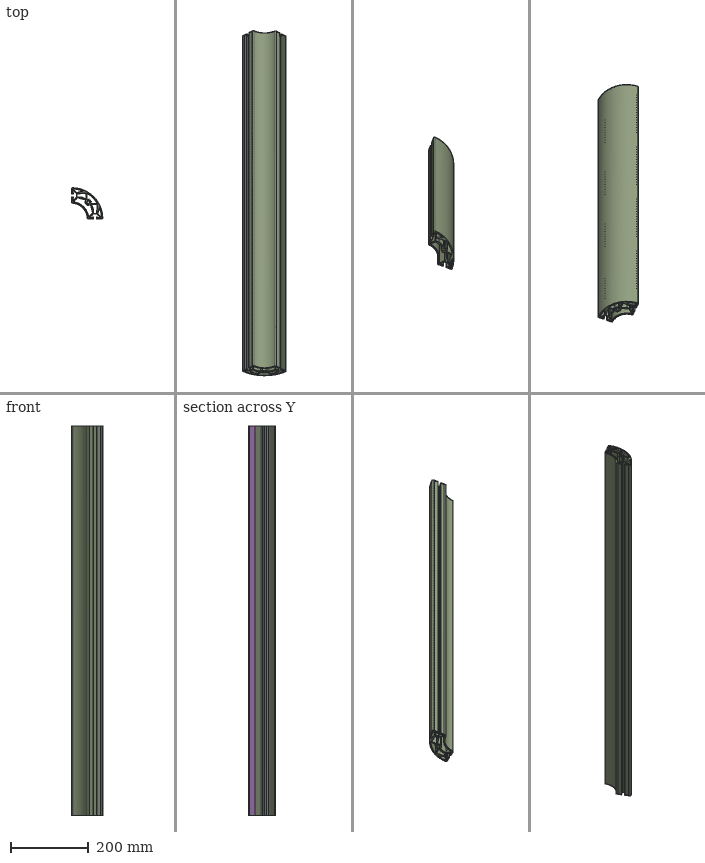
import cadquery as cq
import math

length = 1000.0
outer_radius = 80.0
inner_radius = 40.0
corner_radius = 3.0
outer_wall = 3.4
inner_wall = 3.6
web = 1.8
overshoot = 1.0

mid_radius = (outer_radius + inner_radius) / 2
outer_cavity_radius = outer_radius - outer_wall
inner_cavity_radius = inner_radius + inner_wall
diagonal = 45.0

slot_opening = 8.2
slot_depth = 12.0
slot_floor_width = 10.0
slot_width = 28.0
lip_height = 4.8
lip_root_height = 1.8
flank_start_height = slot_depth - (slot_width - slot_floor_width) / 2
flank_wall_shift = web * math.sqrt(2)

bore_diameter = 6.8
boss_half_depth = 7.0
boss_flat_width = 9.4
boss_inner_radius = mid_radius - boss_half_depth
boss_outer_radius = mid_radius + boss_half_depth
boss_neck = (48.0, 40.0)

bent_wall_foot = (53.9, 15.0)
bent_wall_knee = (49.5, 30.5)
bent_wall_top = (48.5, 35.5)

chamber_top_left = (51.0, 37.0)
chamber_left_knee = (56.5, 23.0)
chamber_right = 65.0
chamber_top_right_height = 36.0
chamber_right_foot = 63.2
chamber_right_knee_height = 26.0

corner_cavity_base = 5.0
corner_cavity_top_height = 28.0
inner_cavity_base = 5.0
web_outer_height = 39.0


def polar(radius, angle):
    """Point at a radius and an angle in degrees from the X axis."""
    return (radius * math.cos(math.radians(angle)), radius * math.sin(math.radians(angle)))


def at_height(radius, height):
    """Point at a given y on a circle about the Z axis."""
    return (math.sqrt(radius**2 - height**2), height)


def swapped(point):
    """Mirror image of a point about the line x = y."""
    return (point[1], point[0])


def mirrored(solid):
    """Mirror image of a solid about the plane x = y."""
    return solid.mirror("XZ").rotate((0, 0, 0), (0, 0, 1), 90)


def diagonal_flat(radius):
    """Ends of a boss flat square to the diagonal, the end nearer the X axis first."""
    x, y = polar(radius, diagonal)
    shift = boss_flat_width / 2 * math.sqrt(0.5)
    return (x + shift, y - shift), (x - shift, y + shift)


def ring_blank():
    """Solid quarter ring with its four long corners rounded."""
    return (
        cq.Workplane("XY")
        .moveTo(inner_radius, 0)
        .lineTo(outer_radius, 0)
        .threePointArc(polar(outer_radius, diagonal), (0, outer_radius))
        .lineTo(0, inner_radius)
        .threePointArc(polar(inner_radius, diagonal), (inner_radius, 0))
        .close()
        .extrude(length)
        .edges("|Z")
        .fillet(corner_radius)
    )


def end_slot():
    """T-slot with tapered lips and 45-degree flanks, open at y = 0."""
    right_half = [
        (slot_opening / 2, -overshoot),
        (slot_opening / 2, lip_height),
        (slot_width / 2, lip_root_height),
        (slot_width / 2, flank_start_height),
        (slot_floor_width / 2, slot_depth),
    ]
    left_half = [(-x, y) for x, y in reversed(right_half)]
    return (
        cq.Workplane("XY")
        .center(mid_radius, 0)
        .polyline(right_half + left_half)
        .close()
        .extrude(length)
    )


def slot_chamber():
    """Cavity between the slot floor, the bent wall and the radial web."""
    floor = slot_depth + web
    points = [
        (chamber_left_knee[0], floor),
        (chamber_right_foot, floor),
        (chamber_right, chamber_right_knee_height),
        (chamber_right, chamber_top_right_height),
        chamber_top_left,
        chamber_left_knee,
    ]
    return cq.Workplane("XY").polyline(points).close().extrude(length)


def corner_cavity():
    """Narrow cavity between the slot flank and the outer wall."""
    flank_sum = mid_radius + slot_floor_width / 2 + slot_depth + flank_wall_shift
    left = chamber_right + web
    top = at_height(outer_cavity_radius, corner_cavity_top_height)
    base = at_height(outer_cavity_radius, corner_cavity_base)
    middle = at_height(outer_cavity_radius, (corner_cavity_base + corner_cavity_top_height) / 2)
    return (
        cq.Workplane("XY")
        .moveTo(*base)
        .threePointArc(middle, top)
        .lineTo(left, flank_sum - left)
        .lineTo(flank_sum - corner_cavity_base, corner_cavity_base)
        .close()
        .extrude(length)
    )


def inner_cavity():
    """Large cavity along the inner arc, passing under the boss."""
    start = at_height(inner_cavity_radius, inner_cavity_base)
    flank_base = (bent_wall_foot[0] - bent_wall_foot[1] + inner_cavity_base, inner_cavity_base)
    lower_side = [flank_base, bent_wall_foot, bent_wall_knee, bent_wall_top]
    lower_side.append(diagonal_flat(boss_inner_radius)[0])
    outline = cq.Workplane("XY").moveTo(*start)
    for point in lower_side + [swapped(point) for point in reversed(lower_side)]:
        outline = outline.lineTo(*point)
    return (
        outline.lineTo(*swapped(start))
        .threePointArc(polar(inner_cavity_radius, diagonal), start)
        .close()
        .extrude(length)
    )


def outer_cavity():
    """Cavity between the boss, the two radial webs and the outer wall."""
    start = at_height(outer_cavity_radius, web_outer_height)
    flat_start, flat_end = diagonal_flat(boss_outer_radius)
    return (
        cq.Workplane("XY")
        .moveTo(*start)
        .threePointArc(polar(outer_cavity_radius, diagonal), swapped(start))
        .lineTo(*swapped(boss_neck))
        .lineTo(*flat_end)
        .lineTo(*flat_start)
        .lineTo(*boss_neck)
        .close()
        .extrude(length)
    )


def boss_bore():
    """Screw bore through the central boss."""
    return (
        cq.Workplane("XY")
        .center(*polar(mid_radius, diagonal))
        .circle(bore_diameter / 2)
        .extrude(length)
    )


result = ring_blank()
for paired_cut in (end_slot(), slot_chamber(), corner_cavity()):
    result = result.cut(paired_cut).cut(mirrored(paired_cut))
for single_cut in (inner_cavity(), outer_cavity(), boss_bore()):
    result = result.cut(single_cut)